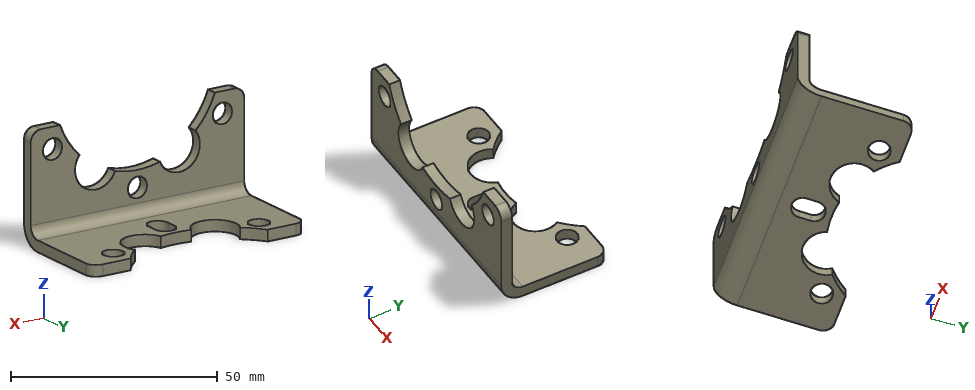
import cadquery as cq

length = 62
leg = 30.0
thickness = 3.05
inner_bend_radius = 3.0
corner_radius = 3.0

hole_diameter = 5.5
hole_height = 24.3
large_radius = 24.0
small_radius = 6.0

upright_hole_offset = 24.7
upright_large_height = 38.45
upright_small_offset = 12.1
upright_small_height = 17.7
center_hole_height = 10.0

base_hole_offset = 21.15
base_large_height = 43.45
base_small_offset = 10.15
base_small_height = 21.7
slot_height = 13.5
slot_length = 8.55


def bent_strip():
    """L-shaped strip with its outer faces on y = 0 and z = 0."""
    strip = (
        cq.Workplane("YZ")
        .polyline([(0, 0), (leg, 0), (leg, thickness), (thickness, thickness), (thickness, leg), (0, leg)])
        .close()
        .extrude(length / 2, both=True)
    )
    strip = strip.edges(cq.selectors.NearestToPointSelector((0, thickness, thickness))).fillet(inner_bend_radius)
    strip = strip.edges(cq.selectors.NearestToPointSelector((0, 0, 0))).fillet(inner_bend_radius + thickness)
    strip = strip.faces(">Z").edges("|Y").fillet(corner_radius)
    return strip.faces(">Y").edges("|Z").fillet(corner_radius)


def leg_cutter(plane, depth, hole_offset, large_height, small_offset, small_height):
    """Large arc, two scallops and two mounting holes cut through one leg."""
    sketch = cq.Workplane(plane)
    large = sketch.center(0, large_height).circle(large_radius).extrude(depth)
    scallops = (
        sketch.pushPoints([(side * small_offset, small_height) for side in (-1, 1)])
        .circle(small_radius)
        .extrude(depth)
    )
    holes = (
        sketch.pushPoints([(side * hole_offset, hole_height) for side in (-1, 1)])
        .circle(hole_diameter / 2)
        .extrude(depth)
    )
    return large.union(scallops).union(holes)


upright_cuts = leg_cutter(
    "XZ", -thickness, upright_hole_offset, upright_large_height, upright_small_offset, upright_small_height
)
center_hole = cq.Workplane("XZ").center(0, center_hole_height).circle(hole_diameter / 2).extrude(-thickness)

base_cuts = leg_cutter(
    "XY", thickness, base_hole_offset, base_large_height, base_small_offset, base_small_height
)
center_slot = cq.Workplane("XY").center(0, slot_height).slot2D(slot_length, hole_diameter, 90).extrude(thickness)

result = bent_strip().cut(upright_cuts).cut(center_hole).cut(base_cuts).cut(center_slot)